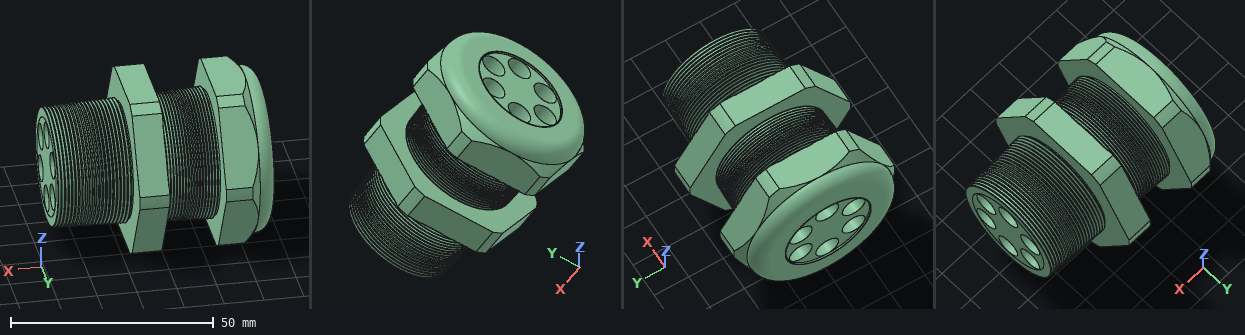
import cadquery as cq
import math

total_length = 53.85

across_flats = 41.9
corner_radius = 23.25

cap_back = 13.2
flange_front = 27.35
flange_back = 34.9

dome_radius = across_flats / 2
dome_round = 3.9
hex_chamfer_start = 4.2

front_thread_start = 13.6
front_thread_end = 27.2
front_thread_teeth = 18
front_root_radius = 15.7
front_first_crest = 16.4
front_last_crest = 15.9

rear_thread_start = 35.2
rear_thread_teeth = 21
rear_root_radius = 14.8
rear_first_crest = 15.55
rear_last_crest = 15.0

tooth_height = 0.8

insert_radius = 12.45
recess_radius = 12.2
recess_depth = 0.5
cable_hole_count = 6
cable_hole_radius = 3.3
cable_circle_radius = 8.85

cable_angle_step = 2 * math.pi / cable_hole_count


def thread_outline(start, end, teeth, root, first_crest, last_crest):
    """Return (x, radius) points of ring-shaped V teeth whose flat crests taper down along X."""
    pitch = (end - start) / teeth
    points = [(start, root)]
    for tooth in range(teeth):
        valley = start + tooth * pitch
        crest = first_crest + (last_crest - first_crest) * tooth / (teeth - 1)
        flank_width = pitch / 2 * (crest - root) / tooth_height
        points.append((valley + flank_width, crest))
        points.append((valley + pitch - flank_width, crest))
        points.append((valley + pitch, root))
    return points


def revolve_about_x(profile):
    return profile.revolve(360, (0, 0, 0), (1, 0, 0))


def hexagon(start, end):
    """Return a hexagonal prism along X with its corners turned down to a cylinder."""
    length = end - start
    corner_diameter = across_flats / math.cos(math.pi / 6)
    plane = cq.Workplane("YZ", origin=(start, 0, 0))
    prism = plane.polygon(6, corner_diameter).extrude(length)
    return prism.intersect(plane.circle(corner_radius).extrude(length))


def make_cap_hexagon():
    """Return the front hexagon, its front corners cut by a 45 degree cone."""
    chamfer = corner_radius - dome_radius
    envelope = revolve_about_x(
        cq.Workplane("XY")
        .moveTo(hex_chamfer_start, 0)
        .lineTo(hex_chamfer_start, dome_radius)
        .lineTo(hex_chamfer_start + chamfer, corner_radius)
        .lineTo(cap_back, corner_radius)
        .lineTo(cap_back, 0)
        .close()
    )
    return hexagon(hex_chamfer_start, cap_back).intersect(envelope)


def make_turned_core():
    """Return the dome and both threads as one turned shape."""
    front_thread = thread_outline(
        front_thread_start, front_thread_end, front_thread_teeth,
        front_root_radius, front_first_crest, front_last_crest,
    )
    rear_thread = thread_outline(
        rear_thread_start, total_length, rear_thread_teeth,
        rear_root_radius, rear_first_crest, rear_last_crest,
    )
    round_middle = dome_round * math.sqrt(0.5)
    profile = (
        cq.Workplane("XY")
        .lineTo(0, dome_radius - dome_round)
        .threePointArc(
            (dome_round - round_middle, dome_radius - dome_round + round_middle),
            (dome_round, dome_radius),
        )
        .lineTo(hex_chamfer_start, dome_radius)
        .lineTo(hex_chamfer_start, front_root_radius)
    )
    for point in front_thread:
        profile = profile.lineTo(*point)
    profile = profile.lineTo(flange_front, front_root_radius).lineTo(flange_front, rear_root_radius)
    for point in rear_thread:
        profile = profile.lineTo(*point)
    return revolve_about_x(profile.lineTo(total_length, 0).close())


def make_housing():
    bore = cq.Workplane("YZ").circle(insert_radius).extrude(total_length)
    return (
        make_turned_core()
        .union(make_cap_hexagon())
        .union(hexagon(flange_front, flange_back))
        .cut(bore)
    )


def make_insert():
    """Return the plug that fills the bore, with a shallow front recess and a ring of cable holes."""
    plug = cq.Workplane("YZ").circle(insert_radius).extrude(total_length)
    plug = plug.cut(cq.Workplane("YZ").circle(recess_radius).extrude(recess_depth))
    hole_centers = [
        (
            cable_circle_radius * math.sin(index * cable_angle_step),
            cable_circle_radius * math.cos(index * cable_angle_step),
        )
        for index in range(cable_hole_count)
    ]
    cable_holes = (
        cq.Workplane("YZ").pushPoints(hole_centers).circle(cable_hole_radius).extrude(total_length)
    )
    return plug.cut(cable_holes)


housing = make_housing()
insert = make_insert()

result = cq.Compound.makeCompound([housing.val(), insert.val()])